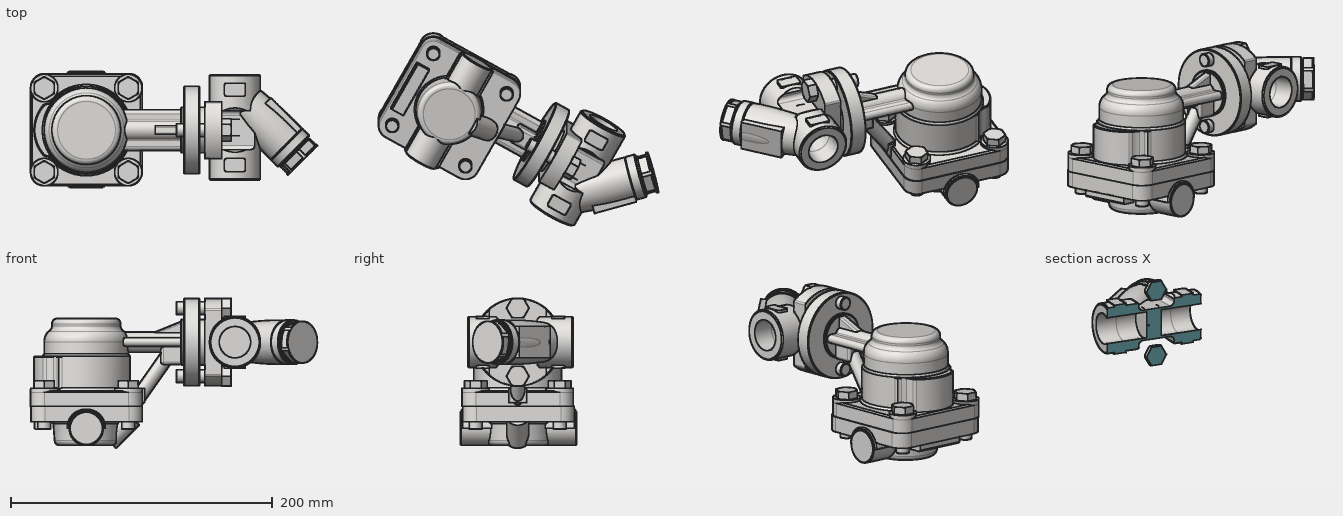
import cadquery as cq
import math


FLANGE_SIDE = 85.2
FLANGE_THICKNESS = 12.0
FLANGE_CORNER_RADIUS = 10.5
FLANGE_EDGE = 1.3
COVER_EDGE = 0.6
COVER_SHIFT_X = 0.3
COVER_SHIFT_Y = 0.6

BOLT_DIAMETER = 10.0
BOLT_HEAD_FLATS = 15.0
BOLT_HEAD_CHAMFER = 0.6
BOLT_END_CHAMFER = 0.5
BOLT_OFFSET = 32.1
BOLT_HEAD_HEIGHT = 5.8
BOLT_END_Z = -17.7
PAD_DIAMETER = 21.0
PAD_TOP_Z = 13.9

BARREL_RADIUS = 33.6
BARREL_TOP_Z = 39.0
BARREL_EDGE = 0.7
LOBE_RADIUS = 29.0
LOBE_CENTER_X = -11.0
LOBE_TOP_Z = 38.2
LOBE_CORNER_RADIUS = 4.0
HOLLOW_RADIUS = 12.0
FOOT_RADIUS = 35.0
FOOT_HEIGHT = 2.0
FOOT_TAPER = 35.0
DOME_RADIUS = 32.2
DOME_SPRING_Z = 49.4
CAP_RADIUS = 26.3
CAP_TOP_Z = 67.2
CAP_FILLET = 4.2

BOWL_TOP_RADIUS = 25.3
BOWL_FLARE = 1.2
BOWL_LOW_RADIUS = 24.3
BOWL_FLOOR_RADIUS = 19.8
BOWL_EDGE_Z = -26.0
BOWL_FLOOR_Z = -29.9
PORT_RADIUS = 13.0
PORT_Z = -16.8
PORT_LENGTH = 89.0
PORT_EDGE = 0.7
PORT_COLLAR_RADIUS = 14.7
PORT_COLLAR_REACH = 1.2
PORT_COLLAR_CHAMFER = 1.1
LUG_WIDTH = 40.4
LUG_FACE_X = -39.6
LUG_LENGTH = 11.0
LUG_CHAMFER = 1.1
ELBOW_RADIUS = 8.5
ELBOW_START_X = 16.9
ELBOW_LENGTH = 25.0
ELBOW_SLOPE = math.radians(45.0)
BOTTOM_Z = -32.08

LINE_Z = 49.0
ARM_END_X = 73.0
ARM_TUBE_RADIUS = 7.8
ARM_SLAB_WIDTH = 31.4
ARM_SLAB_HEIGHT = 6.6
ARM_JOINT_FILLET = 1.5
RIB_WIDTH = 6.6
RIB_FILLET = 1.2
RIB_START_X = 52.6
RIB_TOP_Z = 65.0
PIPE_DIAMETER = 11.0
PIPE_SLOPE = math.radians(55.0)
PIPE_TOP_X = 61.0
PIPE_TOP_Z = 37.0
PIPE_LENGTH = 60.0
PIPE_PAD_START_X = 39.5
PIPE_PAD_END_X = 44.6
PIPE_PAD_TOP_Z = 13.9
PIPE_PAD_WIDTH = 14.0
PIPE_PAD_LOW_Z = 2.6
PIPE_PAD_FILLET = 0.8
PIPE_BLOCK_WIDTH = 14.0
PIPE_BLOCK_START_X = 57.0
PIPE_BLOCK_BOTTOM_Z = 31.9
PIPE_BLOCK_FILLET = 2.0

HUB_DIAMETER = 35.0
HUB_START_X = 72.2
HUB_EDGE = 0.8
ROUND_FLANGE_DIAMETER = 67.0
ROUND_FLANGE_START_X = 74.5
ROUND_FLANGE_END_X = 86.7
ROUND_FLANGE_EDGE = 0.6
OVAL_FLANGE_START_X = 90.7
OVAL_FLANGE_END_X = 103.7
OVAL_FLANGE_WIDTH = 43.6
OVAL_FLANGE_FILLET = 2.0
LINE_BOLT_OFFSET = 26.0
LINE_BOLT_START_X = 68.8
LINE_BOLT_HEAD_HEIGHT = 7.0

STRAINER_X = 113.6
STRAINER_Y = 2.1
STRAINER_RADIUS = 19.5
STRAINER_LENGTH = 80.6
STRAINER_EDGE = 1.0
STRAINER_BORE_DIAMETER = 24.0
STRAINER_BORE_DEPTH = 34.0
LINK_WIDTH = OVAL_FLANGE_WIDTH
LINK_END_X = 107.0
LINK_FILLET = 2.0
WAIST_HALF_HEIGHT = 12.3
LINK_HEIGHT = 2 * WAIST_HALF_HEIGHT
WAIST_WIDTH = 29.8
WAIST_FILLET = 3.4
WAIST_RIM_CHAMFER = 2.0
FLAT_HALF_HEIGHT = 19.75
FLAT_LENGTH_X = 16.0
FLAT_LENGTH_Y = 10.0
FLAT_CORNER = 1.5
FLAT_OFFSET = 28.8
FLAT_DEPTH = 5.0

OVERALL_X = 219.28
PLUG_FACE_Y = -23.1
PLUG_RADIUS = 16.0
PLUG_FLATS = 29.0
PLUG_TWIST = 10.0
PLUG_HEIGHT = 8.1
PLUG_RIM = 1.2
GROOVE_RADIUS = 14.9
GROOVE_END = 9.5
RING_RADIUS = 17.0
RING_END = 17.7
RING_EDGE = 0.7
BRANCH_RADIUS = 16.9
BRANCH_MID = 44.0
BRANCH_MID_RADIUS = 16.4
BRANCH_NECK_RADIUS = 14.5
BRANCH_LENGTH = 65.0
BRANCH_PAD_END = 51.0
BRANCH_PAD_REACH = 16.6
BRANCH_PAD_HEIGHT = 24.0


def cylinder_x(radius, start, end, z=LINE_Z):
    """Cylinder along X between two X positions."""
    return cq.Workplane("YZ", origin=(start, 0, z)).circle(radius).extrude(end - start)


def cylinder_y(radius, length, x, y, z):
    """Cylinder along Y, centred on y."""
    return cq.Workplane("XZ", origin=(x, y, z)).circle(radius).extrude(length / 2, both=True)


def leaning_cylinder(radius, length, start_x, start_z, angle):
    """Cylinder in the XZ plane, rising from its start point at the given angle."""
    direction = cq.Vector(math.cos(angle), 0, math.sin(angle))
    return cq.Workplane(cq.Solid.makeCylinder(radius, length, cq.Vector(start_x, 0, start_z), direction))


def hex_head(height):
    """Hexagonal bolt head with two corners on local Y and a bevelled top."""
    corner_diameter = BOLT_HEAD_FLATS / math.cos(math.pi / 6)
    prism = cq.Workplane("XY").polygon(6, corner_diameter).extrude(height).rotate((0, 0, 0), (0, 0, 1), 90)
    bevel = cq.Workplane("XY").circle(corner_diameter / 2).extrude(height)
    return prism.intersect(bevel.faces(">Z").chamfer(BOLT_HEAD_CHAMFER))


def square_flange(bottom_z, shift_x, shift_y):
    slab = cq.Workplane("XY", origin=(shift_x, shift_y, bottom_z)).rect(FLANGE_SIDE, FLANGE_SIDE)
    return slab.extrude(FLANGE_THICKNESS).edges("|Z").fillet(FLANGE_CORNER_RADIUS)


def make_barrel():
    """Cylinder widened by an off-centre lobe towards -X, with hollows beside the two bolts there."""
    lobe = cq.Workplane("XY").center(LOBE_CENTER_X, 0).circle(LOBE_RADIUS).extrude(LOBE_TOP_Z)
    for side in (-1, 1):
        hollow = cq.Workplane("XY").center(-BOLT_OFFSET, side * BOLT_OFFSET)
        lobe = lobe.cut(hollow.circle(HOLLOW_RADIUS).extrude(LOBE_TOP_Z))
    front_corners = cq.selectors.BoxSelector(
        (LOBE_CENTER_X - LOBE_RADIUS, -BARREL_RADIUS, 0),
        (LOBE_CENTER_X - LOBE_RADIUS / 2, BARREL_RADIUS, LOBE_TOP_Z),
    )
    lobe = lobe.edges("|Z").edges(front_corners).fillet(LOBE_CORNER_RADIUS)
    lobe = lobe.faces(">Z").edges().chamfer(BARREL_EDGE)
    barrel = cq.Workplane("XY").circle(BARREL_RADIUS).extrude(BARREL_TOP_Z).faces(">Z").chamfer(BARREL_EDGE)
    foot = cq.Workplane("XY", origin=(0, 0, FLANGE_THICKNESS)).circle(FOOT_RADIUS)
    return barrel.union(lobe).union(foot.extrude(FOOT_HEIGHT, taper=FOOT_TAPER))


def make_dome():
    """Revolved dome: straight skirt, convex shoulder, concave neck and rounded cap."""
    skirt_start = (DOME_RADIUS, 40.2)
    shoulder_middle = (31.3, 54.0)
    shoulder_end = (28.6, 57.5)
    neck_middle = (26.9, 59.3)
    neck_end = (CAP_RADIUS, 61.5)
    profile = (
        cq.Workplane("XZ")
        .lineTo(BARREL_RADIUS - BARREL_EDGE, 0)
        .lineTo(BARREL_RADIUS - BARREL_EDGE, BARREL_TOP_Z)
        .lineTo(*skirt_start)
        .lineTo(DOME_RADIUS, DOME_SPRING_Z)
        .threePointArc(shoulder_middle, shoulder_end)
        .threePointArc(neck_middle, neck_end)
        .lineTo(CAP_RADIUS, CAP_TOP_Z - CAP_FILLET)
        .radiusArc((CAP_RADIUS - CAP_FILLET, CAP_TOP_Z), -CAP_FILLET)
        .lineTo(0, CAP_TOP_Z)
        .close()
    )
    return profile.revolve(360, (0, 0, 0), (0, 1, 0))


def make_cover_bowl():
    """Tapered bowl under the cover flange and a straight lug under the -X side of the flange."""
    floor_round_middle = (23.1, -28.8)
    profile = (
        cq.Workplane("XZ")
        .lineTo(BOWL_TOP_RADIUS + BOWL_FLARE, 0)
        .lineTo(BOWL_TOP_RADIUS + BOWL_FLARE, -FLANGE_THICKNESS)
        .lineTo(BOWL_TOP_RADIUS, -FLANGE_THICKNESS - BOWL_FLARE)
        .lineTo(BOWL_LOW_RADIUS, BOWL_EDGE_Z)
        .threePointArc(floor_round_middle, (BOWL_FLOOR_RADIUS, BOWL_FLOOR_Z))
        .lineTo(0, BOWL_FLOOR_Z)
        .close()
    )
    bowl = profile.revolve(360, (0, 0, 0), (0, 1, 0)).translate((0, COVER_SHIFT_Y, 0))
    lug = cq.Workplane("XY").box(LUG_LENGTH, LUG_WIDTH, -BOLT_END_Z, centered=(False, True, False))
    lug = lug.edges("<X and <Z").chamfer(LUG_CHAMFER)
    return bowl.union(lug.translate((LUG_FACE_X, COVER_SHIFT_Y, BOLT_END_Z)))


def make_cover_ports():
    port = cylinder_y(PORT_RADIUS, PORT_LENGTH, 0, COVER_SHIFT_Y, PORT_Z).faces("<Y or >Y").chamfer(PORT_EDGE)
    collar_length = FLANGE_SIDE + 2 * PORT_COLLAR_REACH
    collar = cylinder_y(PORT_COLLAR_RADIUS, collar_length, 0, COVER_SHIFT_Y, PORT_Z)
    collar = collar.faces("<Y or >Y").chamfer(PORT_COLLAR_CHAMFER)
    above_floor = cq.Workplane("XY", origin=(0, COVER_SHIFT_Y, PORT_Z))
    return port.union(collar.intersect(above_floor.rect(FLANGE_SIDE, PORT_LENGTH).extrude(-PORT_Z)))


def make_elbow():
    """Boss under the cover, leaning 45 degrees towards the inclined pipe."""
    start_z = BOTTOM_Z + ELBOW_RADIUS * math.cos(ELBOW_SLOPE)
    return leaning_cylinder(ELBOW_RADIUS, ELBOW_LENGTH, ELBOW_START_X, start_z, ELBOW_SLOPE)


def make_cover_bolts():
    bolts = cq.Workplane("XY")
    for x in (-BOLT_OFFSET, BOLT_OFFSET):
        for y in (-BOLT_OFFSET, BOLT_OFFSET):
            pad = cq.Workplane("XY", origin=(x, y, 0)).circle(PAD_DIAMETER / 2).extrude(PAD_TOP_Z)
            pad = pad.intersect(square_flange(0, 0, 0).union(square_flange(FLANGE_THICKNESS, 0, 0)))
            shank_base = cq.Workplane("XY", origin=(x, y, BOLT_END_Z))
            shank = shank_base.circle(BOLT_DIAMETER / 2).extrude(PAD_TOP_Z - BOLT_END_Z)
            shank = shank.faces("<Z").chamfer(BOLT_END_CHAMFER)
            head = hex_head(BOLT_HEAD_HEIGHT).translate((x, y, PAD_TOP_Z))
            bolts = bolts.union(pad).union(shank).union(head)
    return bolts


def make_trap():
    body_flange = square_flange(0, 0, 0).faces(">Z").chamfer(FLANGE_EDGE)
    cover_flange = square_flange(-FLANGE_THICKNESS, COVER_SHIFT_X, COVER_SHIFT_Y)
    cover_flange = cover_flange.faces("<Z").fillet(COVER_EDGE)
    trap = body_flange.union(cover_flange)
    for feature in (make_barrel(), make_dome(), make_cover_bowl(), make_cover_ports(), make_elbow()):
        trap = trap.union(feature)
    return trap.union(make_cover_bolts())


def make_arm():
    """Centre tube with a wide rounded slab, running from the dome to the hub."""
    tube = cylinder_x(ARM_TUBE_RADIUS, 0, ARM_END_X)
    slab_section = cq.Workplane("YZ", origin=(0, 0, LINE_Z)).slot2D(ARM_SLAB_WIDTH, ARM_SLAB_HEIGHT)
    slab = slab_section.extrude(ARM_END_X)
    joints = cq.selectors.BoxSelector(
        (0, -ARM_TUBE_RADIUS, LINE_Z - ARM_SLAB_HEIGHT),
        (ARM_END_X, ARM_TUBE_RADIUS, LINE_Z + ARM_SLAB_HEIGHT),
    )
    return tube.union(slab).edges("|X").edges(joints).fillet(ARM_JOINT_FILLET)


def make_rib():
    outline = [
        (RIB_START_X, LINE_Z + ARM_TUBE_RADIUS),
        (ARM_END_X, RIB_TOP_Z),
        (ARM_END_X, LINE_Z),
        (RIB_START_X, LINE_Z),
    ]
    rib = cq.Workplane("XZ").polyline(outline).close().extrude(RIB_WIDTH / 2, both=True)
    slope = cq.Vector(ARM_END_X - RIB_START_X, 0, RIB_TOP_Z - LINE_Z - ARM_TUBE_RADIUS)
    return rib.edges(cq.selectors.ParallelDirSelector(slope)).fillet(RIB_FILLET)


def make_inclined_pipe():
    """Pipe descending from the block under the arm into the cover, with a pad at the flange side."""
    start_x = PIPE_TOP_X - PIPE_LENGTH * math.cos(PIPE_SLOPE)
    start_z = PIPE_TOP_Z - PIPE_LENGTH * math.sin(PIPE_SLOPE)
    pipe = leaning_cylinder(PIPE_DIAMETER / 2, PIPE_LENGTH, start_x, start_z, PIPE_SLOPE)
    block_height = LINE_Z - PIPE_BLOCK_BOTTOM_Z
    block_length = ARM_END_X - PIPE_BLOCK_START_X
    block = cq.Workplane("XY").box(
        block_length, PIPE_BLOCK_WIDTH, block_height, centered=(False, True, False)
    )
    block = block.edges("<X or <Z").fillet(PIPE_BLOCK_FILLET)
    block = block.translate((PIPE_BLOCK_START_X, 0, PIPE_BLOCK_BOTTOM_Z))
    pad_length = PIPE_PAD_END_X - PIPE_PAD_START_X
    pad_height = PIPE_PAD_TOP_Z - PIPE_PAD_LOW_Z
    pad = cq.Workplane("XY").box(pad_length, PIPE_PAD_WIDTH, pad_height, centered=(False, True, False))
    pad = pad.edges(">X").fillet(PIPE_PAD_FILLET).translate((PIPE_PAD_START_X, 0, PIPE_PAD_LOW_Z))
    return pipe.union(block).union(pad)


def make_line_flanges():
    hub = cylinder_x(HUB_DIAMETER / 2, HUB_START_X, OVAL_FLANGE_START_X).faces("<X").chamfer(HUB_EDGE)
    disc = cylinder_x(ROUND_FLANGE_DIAMETER / 2, ROUND_FLANGE_START_X, ROUND_FLANGE_END_X)
    disc = disc.faces("<X or >X").chamfer(ROUND_FLANGE_EDGE)
    oval = cylinder_x(ROUND_FLANGE_DIAMETER / 2, OVAL_FLANGE_START_X, OVAL_FLANGE_END_X)
    sides = cq.Workplane("YZ", origin=(OVAL_FLANGE_START_X, 0, LINE_Z))
    sides = sides.rect(OVAL_FLANGE_WIDTH, ROUND_FLANGE_DIAMETER)
    sides = sides.extrude(OVAL_FLANGE_END_X - OVAL_FLANGE_START_X)
    oval = oval.intersect(sides).edges("|X").fillet(OVAL_FLANGE_FILLET)
    flanges = hub.union(disc).union(oval)
    for offset in (-LINE_BOLT_OFFSET, LINE_BOLT_OFFSET):
        z = LINE_Z + offset
        shank = cylinder_x(BOLT_DIAMETER / 2, LINE_BOLT_START_X, OVAL_FLANGE_END_X, z)
        shank = shank.faces("<X").chamfer(BOLT_END_CHAMFER)
        head = hex_head(LINE_BOLT_HEAD_HEIGHT).rotate((0, 0, 0), (0, 1, 0), 90)
        flanges = flanges.union(shank).union(head.translate((OVAL_FLANGE_END_X, 0, z)))
    return flanges


def make_waist_cutter():
    """Tool for one recess of the strainer body, with its floor at local Z = 0."""
    depth = 10.0
    rim_z = STRAINER_RADIUS - WAIST_HALF_HEIGHT
    tool = cq.Workplane("XY").box(2 * STRAINER_RADIUS, WAIST_WIDTH, depth, centered=(True, True, False))
    tool = tool.edges("|X and <Z").fillet(WAIST_FILLET)
    rim_width = WAIST_WIDTH + 2 * WAIST_RIM_CHAMFER
    rim = cq.Workplane("XY").box(2 * STRAINER_RADIUS, rim_width, depth, centered=(True, True, False))
    rim = rim.edges("|X and <Z").chamfer(WAIST_RIM_CHAMFER)
    return tool.union(rim.translate((0, 0, rim_z - WAIST_RIM_CHAMFER)))


def make_strainer_body():
    """Cylindrical body along Y with recesses, wrench flats and a link to the oval flange."""
    body = cylinder_y(STRAINER_RADIUS, STRAINER_LENGTH, STRAINER_X, STRAINER_Y, LINE_Z)
    body = body.faces("<Y or >Y").chamfer(STRAINER_EDGE)
    recess = make_waist_cutter().translate((0, 0, WAIST_HALF_HEIGHT))
    for angle in (0, 180):
        body = body.cut(recess.rotate((0, 0, 0), (0, 1, 0), angle).translate((STRAINER_X, 0, LINE_Z)))
    link_length = LINK_END_X - OVAL_FLANGE_END_X
    link = cq.Workplane("XY").box(link_length, LINK_WIDTH, LINK_HEIGHT, centered=(False, True, True))
    link = link.edges(">X").fillet(LINK_FILLET)
    neck_length = STRAINER_X - OVAL_FLANGE_END_X
    neck = cq.Workplane("XY").box(neck_length, WAIST_WIDTH, LINK_HEIGHT, centered=(False, True, True))
    for piece in (link, neck):
        body = body.union(piece.translate((OVAL_FLANGE_END_X, 0, LINE_Z)))
    for y in (STRAINER_Y - FLAT_OFFSET, STRAINER_Y + FLAT_OFFSET):
        for side in (-1, 1):
            z = LINE_Z + side * (FLAT_HALF_HEIGHT - FLAT_DEPTH / 2)
            flat = cq.Workplane("XY").box(FLAT_LENGTH_X, FLAT_LENGTH_Y, FLAT_DEPTH)
            flat = flat.edges("|Z").fillet(FLAT_CORNER)
            body = body.union(flat.translate((STRAINER_X, y, z)))
    return body


def make_branch():
    """Inclined branch built along local Z from the plug face inwards, then placed at 45 degrees."""
    face_reach_x = PLUG_RADIUS * math.cos(math.radians(45))
    tip_x = OVERALL_X - FLANGE_SIDE / 2 - face_reach_x
    profile = (
        cq.Workplane("XZ")
        .moveTo(0, PLUG_HEIGHT)
        .lineTo(GROOVE_RADIUS, PLUG_HEIGHT)
        .lineTo(GROOVE_RADIUS, GROOVE_END)
        .lineTo(RING_RADIUS - RING_EDGE, GROOVE_END)
        .lineTo(RING_RADIUS, GROOVE_END + RING_EDGE)
        .lineTo(RING_RADIUS, RING_END - RING_EDGE)
        .lineTo(RING_RADIUS - RING_EDGE, RING_END)
        .lineTo(BRANCH_RADIUS, RING_END)
        .threePointArc((BRANCH_MID_RADIUS, BRANCH_MID), (BRANCH_NECK_RADIUS, BRANCH_LENGTH))
        .lineTo(0, BRANCH_LENGTH)
        .close()
    )
    branch = profile.revolve(360, (0, 0, 0), (0, 1, 0))
    hexagon = cq.Workplane("XY").polygon(6, PLUG_FLATS / math.cos(math.pi / 6)).extrude(PLUG_HEIGHT)
    hexagon = hexagon.rotate((0, 0, 0), (0, 0, 1), PLUG_TWIST)
    disc = cq.Workplane("XY").circle(PLUG_RADIUS).extrude(PLUG_HEIGHT)
    rim = cq.Workplane("XY").circle(PLUG_RADIUS).extrude(PLUG_RIM)
    branch = branch.union(hexagon.intersect(disc)).union(rim)
    pad = cq.Workplane("XY", origin=(0, 0, RING_END)).center(0, BRANCH_PAD_REACH / 2)
    branch = branch.union(pad.rect(BRANCH_PAD_HEIGHT, BRANCH_PAD_REACH).extrude(BRANCH_PAD_END - RING_END))
    inwards = cq.Vector(-1, 1, 0)
    placement = cq.Plane(origin=(tip_x, PLUG_FACE_Y, LINE_Z), xDir=(0, 0, 1), normal=inwards)
    return cq.Workplane(branch.val().located(cq.Location(placement)))


def make_strainer_bores():
    """Blind pipe connections in both ends of the strainer body."""
    bores = cq.Workplane("XY")
    for side in (-1, 1):
        center_y = STRAINER_Y + side * (STRAINER_LENGTH - STRAINER_BORE_DEPTH) / 2
        radius = STRAINER_BORE_DIAMETER / 2
        bores = bores.union(cylinder_y(radius, STRAINER_BORE_DEPTH, STRAINER_X, center_y, LINE_Z))
    return bores


def make_connector():
    connector = make_line_flanges().union(make_strainer_body()).union(make_branch())
    return connector.cut(make_strainer_bores())


result = make_trap()
for assembly in (make_arm(), make_rib(), make_inclined_pipe(), make_connector()):
    result = result.union(assembly)